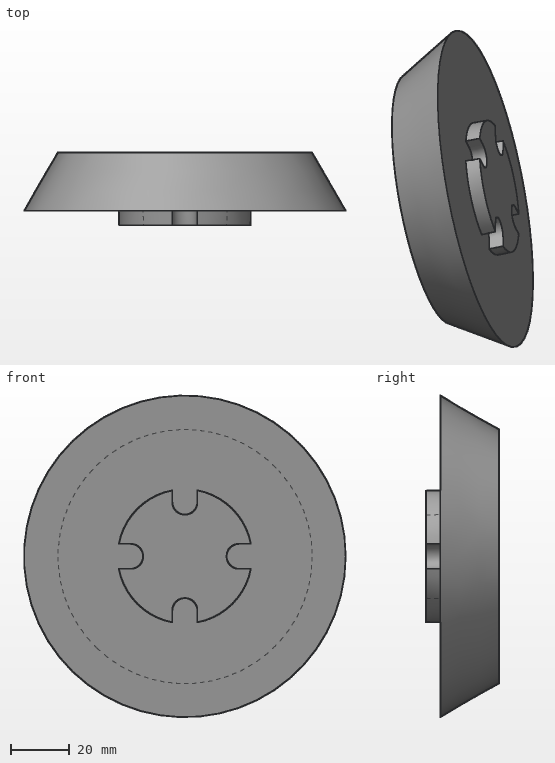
import cadquery as cq
import math

wide_diameter = 110.0
disc_thickness = 20.0
taper_angle = 30.0
wide_radius = wide_diameter / 2
narrow_radius = wide_radius - disc_thickness * math.tan(math.radians(taper_angle))

boss_diameter = 46.0
boss_height = 5.0
boss_draft = 1.0
slot_count = 4
slot_width = 8.5
slot_floor_radius = 14.3


def make_disc():
    """Revolve the trapezoidal half-section around the Y axis."""
    return (
        cq.Workplane("XY")
        .moveTo(0, 0)
        .lineTo(wide_radius, 0)
        .lineTo(narrow_radius, disc_thickness)
        .lineTo(0, disc_thickness)
        .close()
        .revolve(360, (0, 0, 0), (0, 1, 0))
    )


def make_slot(angle):
    """Radial slot with a round inner end, running out past the boss rim."""
    half_width = slot_width / 2
    round_center = slot_floor_radius + half_width
    outer_end = boss_diameter / 2 + half_width
    return (
        cq.Workplane("XZ")
        .moveTo(outer_end, -half_width)
        .lineTo(round_center, -half_width)
        .threePointArc((slot_floor_radius, 0), (round_center, half_width))
        .lineTo(outer_end, half_width)
        .close()
        .extrude(boss_height, taper=-boss_draft)
        .rotate((0, 0, 0), (0, 1, 0), angle)
    )


def make_boss():
    """Boss pointing toward -Y, with evenly spaced slots through its height."""
    boss = cq.Workplane("XZ").circle(boss_diameter / 2).extrude(boss_height, taper=boss_draft)
    for index in range(slot_count):
        boss = boss.cut(make_slot(index * 360 / slot_count))
    return boss


result = make_disc().union(make_boss())